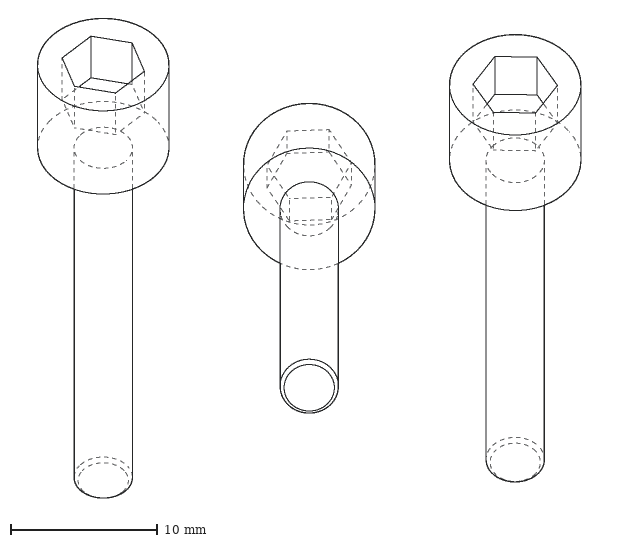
import cadquery as cq
import math

total_length = 40.0
head_diameter = 9.0
head_height = 8.0
shank_diameter = 4.0
tip_chamfer = 0.3
socket_across_flats = 5.0
socket_sides = 6
socket_depth = head_height / 2

shank_length = total_length - head_height
socket_across_corners = socket_across_flats / math.cos(math.pi / socket_sides)


def make_shank():
    """Plain shank along Z with a chamfered tip at Z = 0."""
    shank = cq.Workplane("XY").circle(shank_diameter / 2).extrude(shank_length)
    return shank.faces("<Z").chamfer(tip_chamfer)


def make_head():
    """Cylindrical head sitting on top of the shank."""
    return cq.Workplane("XY").workplane(offset=shank_length).circle(head_diameter / 2).extrude(head_height)


def make_socket():
    """Hexagonal socket volume with two corners on the X axis."""
    top_plane = cq.Workplane("XY").workplane(offset=total_length)
    return top_plane.polygon(socket_sides, socket_across_corners).extrude(-socket_depth)


result = make_shank().union(make_head()).cut(make_socket())